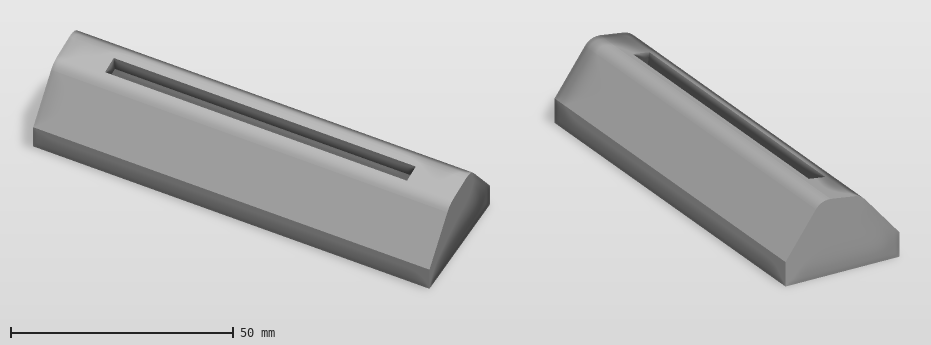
import cadquery as cq
import math

length = 100.0
width = 30.0
height = 18.9
shoulder_height = 6.1

back_crest_y = 5.8
front_crest_y = -4.9
tilt_start_y = 3.1
top_tilt = 8.0
back_radius = 4.0
front_radius = 4.8

slot_length = 76.2
slot_width = 4.4
slot_depth = 4.0
slot_center_y = -0.55


def tilted_top_z(y):
    """Height of the tilted top at a given Y."""
    return height - (tilt_start_y - y) * math.tan(math.radians(top_tilt))


def make_body():
    half_width = width / 2
    front_crest_z = tilted_top_z(front_crest_y)
    body = (
        cq.Workplane("YZ")
        .moveTo(-half_width, 0)
        .lineTo(half_width, 0)
        .lineTo(half_width, shoulder_height)
        .lineTo(back_crest_y, height)
        .lineTo(tilt_start_y, height)
        .lineTo(front_crest_y, front_crest_z)
        .lineTo(-half_width, shoulder_height)
        .close()
        .extrude(length / 2, both=True)
    )
    body = body.edges(cq.NearestToPointSelector((0, back_crest_y, height))).fillet(back_radius)
    front_edge = cq.NearestToPointSelector((0, front_crest_y, front_crest_z))
    return body.edges(front_edge).fillet(front_radius)


def make_slot():
    return (
        cq.Workplane("XY")
        .box(slot_length, slot_width, 2 * slot_depth)
        .rotate((0, 0, 0), (1, 0, 0), top_tilt)
        .translate((0, slot_center_y, tilted_top_z(slot_center_y)))
    )


result = make_body().cut(make_slot())